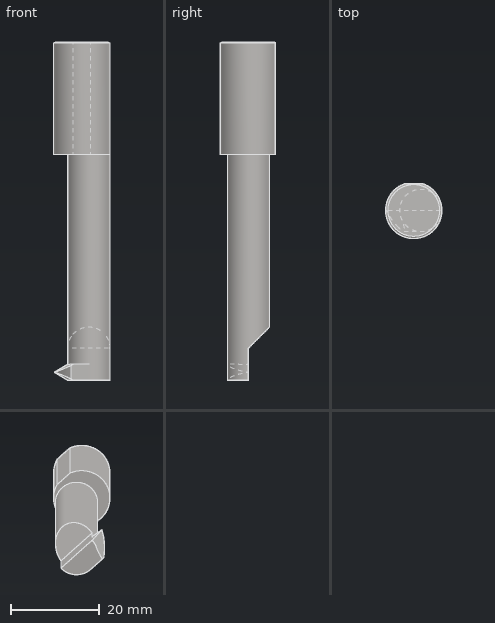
import cadquery as cq

total_length = 76.2
shank_diameter = 12.7
shank_length = 25.4
shank_radius = shank_diameter / 2
shank_bottom = total_length - shank_length
rim_chamfer_width = 0.5
rim_chamfer_height = 0.3
flat_y = 12.4 - shank_radius

neck_diameter = 9.5
neck_radius = neck_diameter / 2
neck_x = shank_radius - neck_radius

rake_straight_height = 7.25

head_height = 3.65
tip_x = -6.2
tip_z = head_height / 2
heel_x = -2.45
clearance_mid_x = -4.7
flank_slope = 0.61
flank_relief_angle = 8.0


def make_shank():
    shank = (
        cq.Workplane("XY")
        .workplane(offset=shank_bottom)
        .circle(shank_radius)
        .extrude(shank_length)
        .faces(">Z")
        .chamfer(rim_chamfer_height, rim_chamfer_width)
    )
    beyond_flat = (
        cq.Workplane("XY")
        .box(shank_diameter, shank_radius, total_length, centered=(True, False, False))
        .translate((0, flat_y, 0))
    )
    return shank.cut(beyond_flat)


def make_neck():
    neck = cq.Workplane("XY").center(neck_x, 0).circle(neck_radius).extrude(shank_bottom)
    rake_cut = (
        cq.Workplane("YZ")
        .polyline([
            (0, 0),
            (neck_diameter, 0),
            (neck_diameter, rake_straight_height + neck_diameter),
            (0, rake_straight_height),
        ])
        .close()
        .extrude(shank_diameter, both=True)
    )
    return neck.cut(rake_cut)


def make_head():
    block = (
        cq.Workplane("XY")
        .moveTo(tip_x, 0)
        .threePointArc((clearance_mid_x, -neck_radius / 2), (heel_x, -neck_radius))
        .lineTo(neck_x, -neck_radius)
        .lineTo(neck_x, 0)
        .close()
        .extrude(head_height)
    )
    wedge_length = shank_diameter
    wedge_rise = flank_slope * wedge_length
    wedge = (
        cq.Workplane("XZ")
        .polyline([
            (tip_x, tip_z),
            (tip_x + wedge_length, tip_z + wedge_rise),
            (tip_x + wedge_length, tip_z - wedge_rise),
        ])
        .close()
        .extrude(neck_diameter, taper=flank_relief_angle)
    )
    return block.intersect(wedge)


result = make_shank().union(make_neck()).union(make_head())